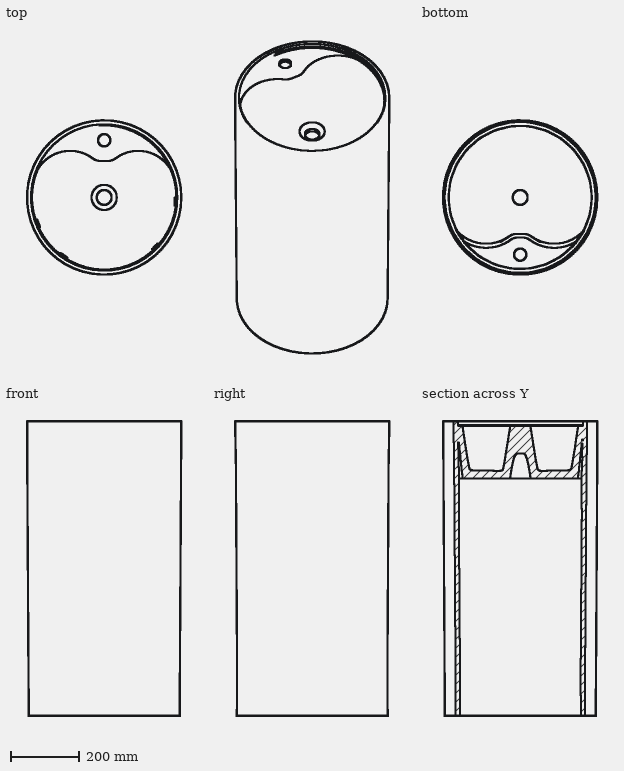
import cadquery as cq
import math

height = 865.72
rim_diameter = 454.03
base_diameter = 444.0
rim_edge_radius = 3.0
rim_band_height = 5.0

rim_inner_radius = 215.0
ledge_depth = 14.0
ledge_fillet = 3.0

basin_depth = 147.0
floor_fillet = 5.0
lobe_x = 100.0
notch_half_width = 10.0
ledge_bowl_radius = 214.0
ledge_lobe_top = 137.0
ledge_notch_y = 107.0
floor_bowl_radius = 207.0
floor_lobe_top = 124.0
floor_notch_y = 95.0

level_floor_radius = 71.0
floor_rise = 4.0

tap_hole_diameter = 35.31
tap_hole_y = 168.0
drain_diameter = 43.0
drain_seat_diameter = 70.0
drain_seat_depth = 12.0
drain_edge_chamfer = 2.0

wall = 12.0
ledge_thickness = 10.0
floor_thickness = 22.0

rim_radius = rim_diameter / 2
base_radius = base_diameter / 2
rim_band_z = height - rim_band_height
ledge_z = height - ledge_depth
floor_z = height - basin_depth


def point_between(start, end, distance):
    """Point at the given distance from start on the line through end."""
    dx = end[0] - start[0]
    dy = end[1] - start[1]
    scale = distance / math.hypot(dx, dy)
    return (start[0] + dx * scale, start[1] + dy * scale)


def mirrored(point):
    return (-point[0], point[1])


def heart_wire(z, bowl_radius, lobe_top, notch_y):
    """Closed heart outline: a bowl arc, two lobe arcs, and a short flat notch blended into the lobes."""
    lobe_radius = (bowl_radius**2 - lobe_x**2 - lobe_top**2) / (2 * (bowl_radius - lobe_top))
    lobe_center = (lobe_x, lobe_top - lobe_radius)
    lobe_peak = (lobe_x, lobe_top)
    bowl_end = point_between((0, 0), lobe_center, bowl_radius)

    flat_end = (notch_half_width, notch_y)
    across = lobe_x - notch_half_width
    rise = notch_y - lobe_center[1]
    blend_radius = (across**2 + rise**2 - lobe_radius**2) / (2 * (lobe_radius - rise))
    blend_center = (notch_half_width, notch_y + blend_radius)
    blend_start = point_between(blend_center, lobe_center, blend_radius)
    chord_middle = ((flat_end[0] + blend_start[0]) / 2, (flat_end[1] + blend_start[1]) / 2)
    blend_middle = point_between(blend_center, chord_middle, blend_radius)

    return (
        cq.Workplane("XY", origin=(0, 0, z))
        .moveTo(*bowl_end)
        .threePointArc(lobe_peak, blend_start)
        .threePointArc(blend_middle, flat_end)
        .lineTo(*mirrored(flat_end))
        .threePointArc(mirrored(blend_middle), mirrored(blend_start))
        .threePointArc(mirrored(lobe_peak), mirrored(bowl_end))
        .threePointArc((0, -bowl_radius), bowl_end)
        .wire()
        .val()
    )


def make_bowl(bottom_z, top_z, offset):
    """Drafted heart-shaped solid between two levels, its walls moved outward by the offset."""
    bottom = heart_wire(bottom_z, floor_bowl_radius + offset, floor_lobe_top + offset, floor_notch_y + offset)
    top = heart_wire(top_z, ledge_bowl_radius + offset, ledge_lobe_top + offset, ledge_notch_y + offset)
    return cq.Workplane(cq.Solid.makeLoft([bottom, top], True))


def revolve_profile(points):
    """Solid of revolution about Z from (radius, z) points."""
    return cq.Workplane("XZ").polyline(points).close().revolve(360, (0, 0), (0, 1))


def make_body():
    profile = [
        (0, 0),
        (base_radius, 0),
        (rim_radius, rim_band_z),
        (rim_radius, height),
        (0, height),
    ]
    body = revolve_profile(profile)
    return body.faces(">Z").edges().fillet(rim_edge_radius)


def make_ledge_recess():
    recess = cq.Workplane("XY", origin=(0, 0, ledge_z)).circle(rim_inner_radius).extrude(ledge_depth)
    return recess.faces("<Z").edges().fillet(ledge_fillet)


def make_floor_slope():
    """Ring of material that raises the floor outside the level circle, rising steadily past the walls."""
    outer_radius = ledge_bowl_radius
    return revolve_profile(
        [
            (level_floor_radius, floor_z),
            (outer_radius, floor_z + floor_rise),
            (outer_radius, floor_z),
        ]
    )


def make_basin():
    basin = make_bowl(floor_z, ledge_z, 0).cut(make_floor_slope())
    sloped_floor = basin.faces("%CONE")
    return sloped_floor.edges("not (%CIRCLE or %LINE)").fillet(floor_fillet)


def make_cavity():
    """Hollow below the basin and under the tap ledge, leaving the outer wall, the bowl and the ledge."""
    ceiling_z = ledge_z - ledge_thickness
    profile = [
        (0, 0),
        (base_radius - wall, 0),
        (rim_radius - wall, ceiling_z),
        (0, ceiling_z),
    ]
    cavity = revolve_profile(profile)
    return cavity.cut(make_bowl(floor_z - floor_thickness, ledge_z, wall))


def make_drain():
    bore_radius = drain_diameter / 2
    seat_radius = drain_seat_diameter / 2
    seat_z = floor_z - drain_seat_depth
    return revolve_profile(
        [
            (0, 0),
            (bore_radius, 0),
            (bore_radius, seat_z),
            (seat_radius, floor_z - drain_edge_chamfer),
            (seat_radius + drain_edge_chamfer, floor_z),
            (0, floor_z),
        ]
    )


def make_tap_hole():
    return cq.Workplane("XY").center(0, tap_hole_y).circle(tap_hole_diameter / 2).extrude(height)


result = (
    make_body()
    .cut(make_ledge_recess())
    .cut(make_basin())
    .cut(make_cavity())
    .cut(make_drain())
    .cut(make_tap_hole())
)